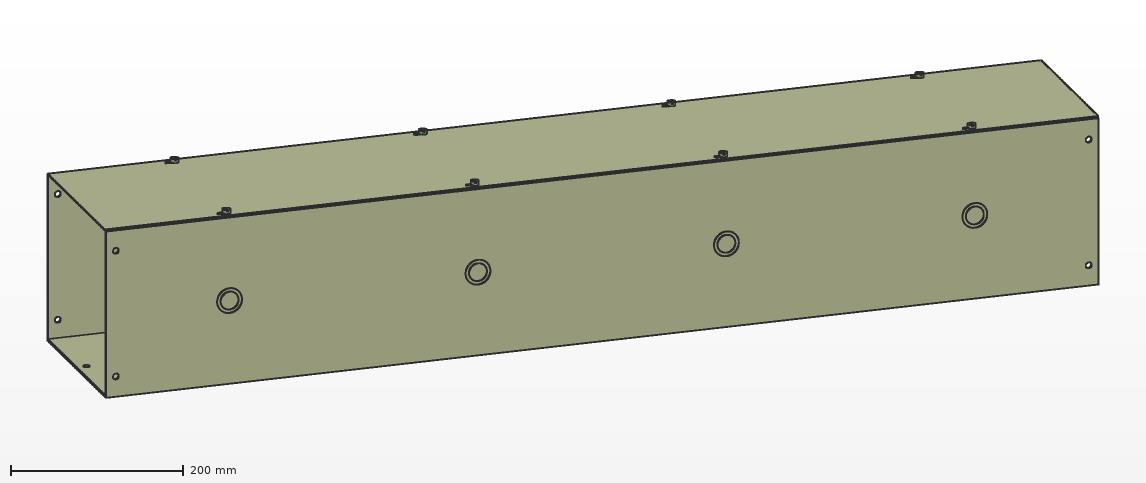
import cadquery as cq

length = 1219.0
width = 211.0

channel_length = 1218.0
channel_height = 205.0
sheet = 2.7
flange_width = 22.0
flange_end_inset = 20.0
flange_taper = 5.0

end_hole_diameter = 7.0
end_hole_inset = 12.0
end_hole_spacing = 155.0

knockout_outer_diameter = 30.0
knockout_inner_diameter = 22.0
knockout_depth = sheet / 2

lid_thickness = 1.0
lid_gap = 0.7
lid_inset = 3.0
lid_width = width - 2 * lid_inset
lid_bottom = channel_height + lid_gap
lid_top = lid_bottom + lid_thickness

head_diameter = 10.0
head_height = 4.6
shank_diameter = 6.0
shank_length = 9.0
drive_slot_width = 1.8
drive_slot_depth = 1.8
slot_reach = 11.0
screw_inset = 12.0
stations = 4
pitch = length / stations
station_ys = [pitch * (index - (stations - 1) / 2) for index in range(stations)]
screw_xs = [side * (width / 2 - screw_inset) for side in (-1, 1)]
screw_places = [(x, y) for x in screw_xs for y in station_ys]


def make_channel():
    """Channel with a floor, two walls and two inward flanges, pierced and grooved."""
    channel = cq.Workplane("XY").box(width, channel_length, channel_height, centered=(True, True, False))
    cavity = cq.Workplane("XY", origin=(0, 0, sheet)).box(
        width - 2 * sheet, channel_length, channel_height - 2 * sheet, centered=(True, True, False)
    )
    channel = channel.cut(cavity)
    for cutter in (make_top_opening(), make_end_holes(), make_knockouts(), make_screw_holes()):
        channel = channel.cut(cutter)
    return channel


def make_top_opening():
    """Opening between the flanges, widening to the walls beyond the tapered flange ends."""
    inner_x = width / 2 - flange_width
    outer_x = width / 2 - sheet
    end_y = channel_length / 2
    outer_y = end_y - flange_end_inset
    inner_y = outer_y - flange_taper
    quarter = [(outer_x, end_y), (outer_x, outer_y), (inner_x, inner_y)]
    right_half = quarter + [(x, -y) for x, y in reversed(quarter)]
    outline = right_half + [(-x, y) for x, y in reversed(right_half)]
    return cq.Workplane("XY", origin=(0, 0, channel_height - sheet)).polyline(outline).close().extrude(sheet)


def make_end_holes():
    """Small holes near both ends: two in each wall and one in the floor."""
    end_ys = [side * (channel_length / 2 - end_hole_inset) for side in (-1, 1)]
    mid_z = channel_height / 2
    wall_points = [(y, mid_z + side * end_hole_spacing / 2) for y in end_ys for side in (-1, 1)]
    wall_holes = (
        cq.Workplane("YZ", origin=(-width / 2, 0, 0))
        .pushPoints(wall_points)
        .circle(end_hole_diameter / 2)
        .extrude(width)
    )
    floor_holes = (
        cq.Workplane("XY")
        .pushPoints([(0, y) for y in end_ys])
        .circle(end_hole_diameter / 2)
        .extrude(sheet)
    )
    return wall_holes.union(floor_holes)


def make_knockouts():
    """Shallow ring grooves on the outside of both walls."""
    points = [(y, channel_height / 2) for y in station_ys]
    rings = (
        cq.Workplane("YZ", origin=(-width / 2, 0, 0))
        .pushPoints(points)
        .circle(knockout_outer_diameter / 2)
        .circle(knockout_inner_diameter / 2)
        .extrude(knockout_depth)
    )
    return rings.union(rings.mirror("YZ"))


def make_screw_holes():
    """Holes in the flanges that the screw shanks fill."""
    return (
        cq.Workplane("XY", origin=(0, 0, channel_height - sheet))
        .pushPoints(screw_places)
        .circle(shank_diameter / 2)
        .extrude(sheet)
    )


def make_lid():
    """Flat cover with a slot at each screw, running from the shank towards -Y."""
    lid = cq.Workplane("XY", origin=(0, 0, lid_bottom)).box(
        lid_width, length, lid_thickness, centered=(True, True, False)
    )
    slot_length = slot_reach + shank_diameter / 2
    slot_offset = shank_diameter / 2 - slot_length / 2
    points = [(x, y + slot_offset) for x, y in screw_places]
    slots = (
        cq.Workplane("XY", origin=(0, 0, lid_bottom))
        .pushPoints(points)
        .slot2D(slot_length, shank_diameter, 90)
        .extrude(lid_thickness)
    )
    return lid.cut(slots)


def make_screw(x, y):
    """Screw with a slotted flat cylindrical head resting on the lid."""
    base = cq.Workplane("XY", origin=(x, y, lid_top))
    head = base.circle(head_diameter / 2).extrude(head_height)
    shank = base.circle(shank_diameter / 2).extrude(-shank_length)
    drive_slot = cq.Workplane("XY", origin=(x, y, lid_top + head_height - drive_slot_depth)).box(
        head_diameter, drive_slot_width, drive_slot_depth, centered=(True, True, False)
    )
    return head.union(shank).cut(drive_slot)


channel = make_channel()
lid = make_lid()
screws = [make_screw(x, y) for x, y in screw_places]

result = cq.Compound.makeCompound([channel.val(), lid.val(), *[screw.val() for screw in screws]])